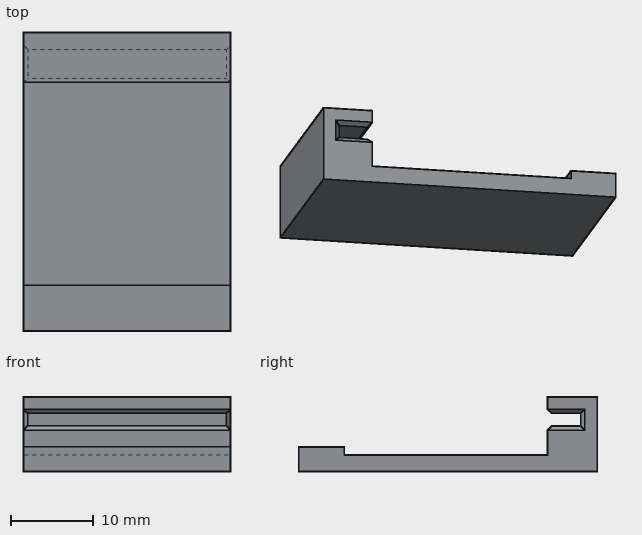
import cadquery as cq

width = 25.0
length = 36.0
height = 9.0

floor_thickness = 2.0
lip_height = 3.0
lip_depth = 5.5

block_depth = 6.0
slot_bottom = 5.5
slot_height = 1.5
slot_back_wall = 2.0
mouth_chamfer = 0.5

front_y = -length / 2
back_y = length / 2
block_front_y = back_y - block_depth
slot_back_y = back_y - slot_back_wall
slot_top = slot_bottom + slot_height


def extrude_profile(points):
    """Extrude a closed (y, z) outline across the full width, centred on X."""
    return cq.Workplane("YZ").polyline(points).close().extrude(width / 2, both=True)


def make_body():
    """Side outline of the plate, lip and rear block."""
    lip_back_y = front_y + lip_depth
    return extrude_profile([
        (front_y, 0),
        (back_y, 0),
        (back_y, height),
        (block_front_y, height),
        (block_front_y, floor_thickness),
        (lip_back_y, floor_thickness),
        (lip_back_y, lip_height),
        (front_y, lip_height),
    ])


def make_slot():
    """Straight slot running across the rear block."""
    return extrude_profile([
        (block_front_y, slot_bottom),
        (slot_back_y, slot_bottom),
        (slot_back_y, slot_top),
        (block_front_y, slot_top),
    ])


def chamfer_slot_mouth(body):
    """Chamfer the slot rim along the front and around both ends."""
    margin = slot_height / 10
    rim = cq.selectors.BoxSelector(
        (-width, block_front_y - margin, slot_bottom - margin),
        (width, slot_back_y + margin, slot_top + margin),
    )
    inner_corners = cq.selectors.BoxSelector(
        (-margin, slot_back_y - margin, slot_bottom - margin),
        (margin, slot_back_y + margin, slot_top + margin),
    )
    return body.edges(rim - inner_corners).chamfer(mouth_chamfer)


result = chamfer_slot_mouth(make_body().cut(make_slot()))